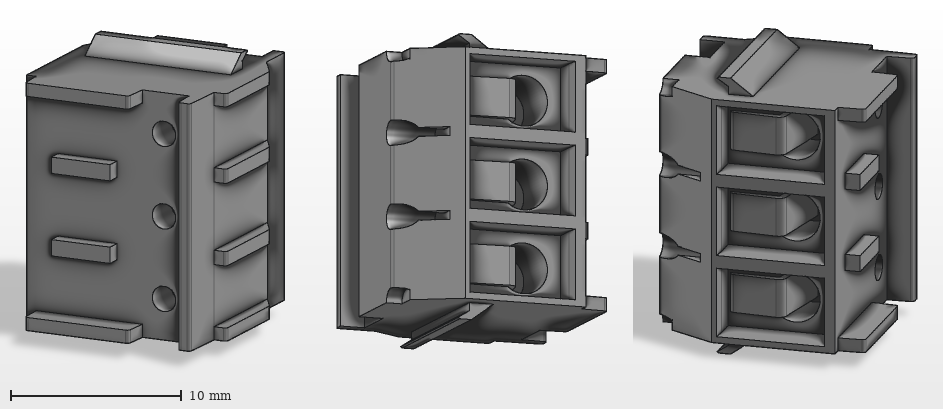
import cadquery as cq

POLES = 3
PITCH = 5.0
HEIGHT = POLES * PITCH
HALF = HEIGHT / 2
POLE_Z = [(i - (POLES - 1) / 2) * PITCH for i in range(POLES)]
GAP_Z = [(i - (POLES - 2) / 2) * PITCH for i in range(POLES - 1)]

DEPTH = 12.4
TOP_Y = 13.0
BASE_Y = 1.63
BEVEL_Y = 9.16
BEVEL_TOP_X = 2.1
NOTCH_X0 = 7.46
NOTCH_X1 = 10.49
NOTCH_Y = 11.5
ARM_X = 11.27
ARM_BASE_Y = 10.5
BACK_SLOPE_Y = 8.64
BACK_SHELF_Y = 3.0
WALL_X = 11.58
EDGE_R = 0.2
BEVEL_R = 0.25
BACK_R = 0.51

END_T = 0.8
FOOT_X0 = 0.63
FOOT_X1 = 7.56
RAIL_X0 = 10.6
FOOT_TAPER = 0.08
RIB_T = 0.87
TAB_X0 = 2.07
TAB_LENGTH = 3.85
TAB_T = 0.99
TAB_Y = 0.71

HOOK_X0 = 1.15
HOOK_LENGTH = 9.54
HOOK_TOP_Z = 8.5
HOOK_ROOT_Y0 = 6.97
HOOK_ROOT_Y1 = 8.48
HOOK_TOP_Y = 8.35
HOOK_TIP_Y = 9.16
HOOK_NECK_Z = 7.97
HOOK_TIP_CHAMFER = 0.08

WINDOW_Y0 = 2.28
WINDOW_Y1 = 8.87
WINDOW_Z = 4.22
WINDOW_DEPTH = 2.21
LEAD_IN_DEPTH = 0.82
LEAD_IN_TAPER_Y0 = 0.1
LEAD_IN_TAPER_Y1 = 0.07
WIRE_Y = 4.71
WIRE_R = 1.51
WIRE_END_X = 6.12
CLAMP_Z = 2.33
CLAMP_Y0 = 4.5
CLAMP_CREST_Y = 5.3
CLAMP_CREST_RISE = 0.51
CLAMP_CREST_R = 0.5
CLAMP_Y1 = 8.65
CLAMP_HEEL_RISE = 0.29
CLAMP_HEEL_R = 0.27
SCREW_X = 8.98
SCREW_R = 0.76
SCREW_DEPTH = 2.55
POCKET_X0 = 2.04
POCKET_X1 = 2.18
POCKET_R = 0.75
POCKET_FLOOR_Y = 9.98
END_POCKET_FLOOR_Y = 12.04
SLIT_Z = 0.53


def plate(points, thickness, z_middle):
    """Outline in XY extruded along Z, symmetric about z_middle."""
    sketch = cq.Workplane("XY", origin=(0, 0, z_middle)).polyline(points).close()
    return sketch.extrude(thickness / 2, both=True)


def box(x0, x1, y0, y1, thickness, z_middle):
    """Block spanning x0..x1 and y0..y1, symmetric about z_middle along Z."""
    return plate([(x0, y0), (x1, y0), (x1, y1), (x0, y1)], thickness, z_middle)


def round_edge(solid, x, y, radius):
    """Fillet the Z-parallel edges that pass through (x, y)."""
    tolerance = 0.002
    corner = cq.selectors.BoxSelector(
        (x - tolerance, y - tolerance, -HEIGHT), (x + tolerance, y + tolerance, HEIGHT)
    )
    return solid.edges("|Z").edges(corner).fillet(radius)


def full_section():
    """Housing whose whole back reaches as far as the ribs."""
    outline = [
        (0, BASE_Y), (0, BEVEL_Y), (BEVEL_TOP_X, TOP_Y), (NOTCH_X0, TOP_Y), (NOTCH_X0, NOTCH_Y),
        (NOTCH_X1, NOTCH_Y), (NOTCH_X1, TOP_Y), (ARM_X, TOP_Y), (ARM_X, ARM_BASE_Y),
        (DEPTH, BACK_SLOPE_Y), (DEPTH, BACK_SHELF_Y), (WALL_X, BACK_SHELF_Y), (RAIL_X0, BASE_Y),
    ]
    section = plate(outline, HEIGHT, 0)
    section = round_edge(section, BEVEL_TOP_X, TOP_Y, BEVEL_R)
    section = round_edge(section, ARM_X, TOP_Y, EDGE_R)
    section = round_edge(section, DEPTH, BACK_SLOPE_Y, BACK_R)
    return round_edge(section, DEPTH, BACK_SHELF_Y, EDGE_R)


def foot(x0, x1, outer_y, thickness, z_middle):
    """Tapered foot with rounded tip edges; its +X side starts at outer_y."""
    tip_x0 = x0 + FOOT_TAPER
    tip_x1 = x1 - FOOT_TAPER
    outline = [(x0, BASE_Y), (tip_x0, 0), (tip_x1, 0), (x1, outer_y)]
    solid = plate(outline, thickness, z_middle)
    solid = round_edge(solid, tip_x0, 0, EDGE_R)
    return round_edge(solid, tip_x1, 0, EDGE_R)


def housing():
    """Housing with ribs on the back wall, feet, rail and tabs."""
    body = full_section()
    rib_zones = [(z, RIB_T) for z in GAP_Z] + [(s * (HALF - END_T / 2), END_T) for s in (-1, 1)]
    keep = box(0, WALL_X, 0, TOP_Y, HEIGHT, 0)
    for z, thickness in rib_zones:
        keep = keep.union(box(WALL_X, DEPTH, 0, TOP_Y, thickness, z))
    body = body.intersect(keep)
    body = body.union(foot(RAIL_X0, WALL_X, BACK_SHELF_Y, HEIGHT, 0))
    for side in (-1, 1):
        body = body.union(foot(FOOT_X0, FOOT_X1, BASE_Y, END_T, side * (HALF - END_T / 2)))
    for z in GAP_Z:
        body = body.union(box(TAB_X0, TAB_X0 + TAB_LENGTH, TAB_Y, BASE_Y, TAB_T, z))
    return body


def hook():
    """Latching hook on the +Z end."""
    profile = [
        (HOOK_ROOT_Y0, HALF), (HOOK_TOP_Y, HOOK_TOP_Z), (HOOK_TIP_Y - HOOK_TIP_CHAMFER, HOOK_TOP_Z),
        (HOOK_TIP_Y, HOOK_TOP_Z - HOOK_TIP_CHAMFER), (HOOK_ROOT_Y1, HOOK_NECK_Z), (HOOK_ROOT_Y1, HALF),
    ]
    return cq.Workplane("YZ", origin=(HOOK_X0, 0, 0)).polyline(profile).close().extrude(HOOK_LENGTH)


def wire_entry(z):
    """Window with a tapered lead-in and the round wire hole in its floor."""
    inner_y0 = WINDOW_Y0 + LEAD_IN_TAPER_Y0
    inner_y1 = WINDOW_Y1 - LEAD_IN_TAPER_Y1
    outline = [
        (0, WINDOW_Y0), (LEAD_IN_DEPTH, inner_y0), (WINDOW_DEPTH, inner_y0),
        (WINDOW_DEPTH, inner_y1), (LEAD_IN_DEPTH, inner_y1), (0, WINDOW_Y1),
    ]
    hole = cq.Workplane("YZ", origin=(0, WIRE_Y, z)).circle(WIRE_R).extrude(WIRE_END_X)
    hole = hole.intersect(box(WINDOW_DEPTH, WIRE_END_X, 0, TOP_Y, HEIGHT, z))
    return plate(outline, WINDOW_Z, z).union(hole)


def clamp(z):
    """Bent contact tongue that stands on the window floor and dips into the wire hole."""
    crest_x = WINDOW_DEPTH - CLAMP_CREST_RISE
    heel_x = WINDOW_DEPTH - CLAMP_HEEL_RISE
    outline = [(WIRE_END_X, CLAMP_Y0), (crest_x, CLAMP_CREST_Y), (heel_x, CLAMP_Y1), (WIRE_END_X, CLAMP_Y1)]
    tongue = plate(outline, CLAMP_Z, z)
    tongue = round_edge(tongue, crest_x, CLAMP_CREST_Y, CLAMP_CREST_R)
    return round_edge(tongue, heel_x, CLAMP_Y1, CLAMP_HEEL_R)


def screw_hole(z):
    """Blind round hole sunk into the base plane."""
    return cq.Workplane("XZ", origin=(SCREW_X, BASE_Y, z)).circle(SCREW_R).extrude(-SCREW_DEPTH)


def pocket(z, floor_y):
    """Round pocket sunk along Y from the top face."""
    middle_x = (POCKET_X0 + POCKET_X1) / 2
    length = POCKET_X1 - POCKET_X0 + 2 * POCKET_R
    sketch = cq.Workplane("XZ", origin=(middle_x, floor_y, z)).slot2D(length, 2 * POCKET_R)
    return sketch.extrude(floor_y - TOP_Y)


result = housing()
for z in POLE_Z:
    result = result.cut(wire_entry(z)).union(clamp(z))
    result = result.cut(screw_hole(z))
for z in GAP_Z:
    result = result.cut(pocket(z, POCKET_FLOOR_Y))
    result = result.cut(box(0, POCKET_X0, POCKET_FLOOR_Y, TOP_Y, SLIT_Z, z))
for z in (-HALF, HALF):
    result = result.cut(pocket(z, END_POCKET_FLOOR_Y))
result = result.union(hook()).union(hook().mirror("XY"))